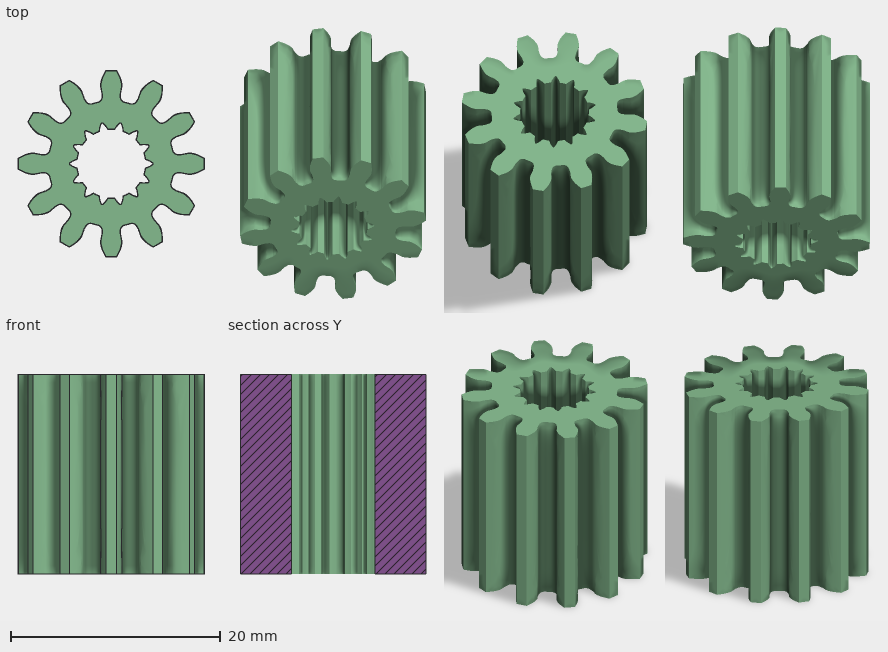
import cadquery as cq
import math

length = 19.05
across_tip_flats = 17.77
tip_flat_radius = across_tip_flats / 2
tooth_count = 12

tip_half_width = 0.51
flank_mid_radius = 8.2
flank_mid_half_width = 0.85
shoulder_radius = 7.37
shoulder_half_width = 1.01
neck_half_width = 0.88
neck_outer_radius = 6.65
root_radius = 6.0
root_fillet = 0.53

groove_count = 14
bore_radius = 3.28
groove_bottom_radius = 3.98
groove_mouth_half_width = 0.42
groove_mid_radius = 3.6
groove_mid_half_width = 0.29
groove_end_radius = 3.89
groove_end_half_width = 0.11

root_overlap = 0.38


def extrude_closed(outline):
    return outline.close().extrude(length)


def make_tooth():
    """Tooth along +X whose flanks curve smoothly from the tip into a narrower straight neck."""
    inner = root_radius - root_overlap
    flank = [
        (shoulder_radius, shoulder_half_width),
        (flank_mid_radius, flank_mid_half_width),
        (tip_flat_radius, tip_half_width),
    ]
    neck_direction = (1, 0)
    tip_direction = (tip_flat_radius - flank_mid_radius, tip_half_width - flank_mid_half_width)
    half_tooth = extrude_closed(
        cq.Workplane("XY")
        .moveTo(inner, 0)
        .lineTo(inner, neck_half_width)
        .lineTo(neck_outer_radius, neck_half_width)
        .spline(flank, tangents=[neck_direction, tip_direction], includeCurrent=True)
        .lineTo(tip_flat_radius, 0)
    )
    return half_tooth.union(half_tooth.mirror("XZ")).clean()


def make_groove():
    """One tapered spline groove along +X with a rounded bottom."""
    mouth = math.sqrt(bore_radius**2 - groove_mouth_half_width**2)
    inner = mouth - root_overlap
    return extrude_closed(
        cq.Workplane("XY")
        .moveTo(inner, -groove_mouth_half_width)
        .lineTo(mouth, -groove_mouth_half_width)
        .threePointArc((groove_mid_radius, -groove_mid_half_width), (groove_end_radius, -groove_end_half_width))
        .threePointArc((groove_bottom_radius, 0), (groove_end_radius, groove_end_half_width))
        .threePointArc((groove_mid_radius, groove_mid_half_width), (mouth, groove_mouth_half_width))
        .lineTo(inner, groove_mouth_half_width)
    )


def add_ring(base, feature, count):
    """Fuse equally spaced copies of a feature around the Z axis."""
    for i in range(count):
        base = base.union(feature.rotate((0, 0, 0), (0, 0, 1), i * 360 / count))
    return base


gear = add_ring(cq.Workplane("XY").circle(root_radius).extrude(length), make_tooth(), tooth_count)
neck_middle_radius = (root_radius + neck_outer_radius) / 2
root_edges = gear.edges("|Z").filter(
    lambda edge: math.hypot(edge.Center().x, edge.Center().y) < neck_middle_radius
)
gear = root_edges.fillet(root_fillet)

bore = cq.Workplane("XY").circle(bore_radius).extrude(length)
result = gear.cut(add_ring(bore, make_groove(), groove_count))